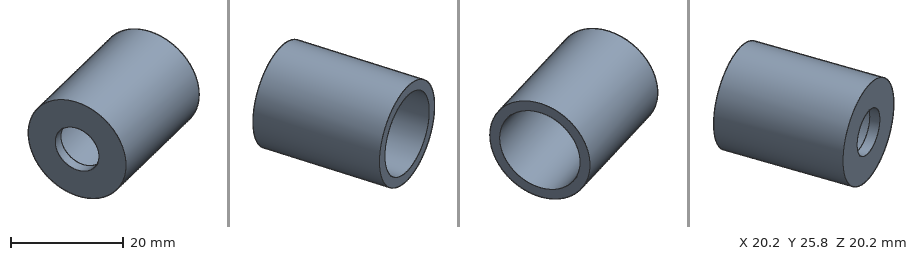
import cadquery as cq

length = 25.8
outer_diameter = 20.2
bore_diameter = 9.0
cavity_diameter = 16.2
front_wall = 2.0
cavity_depth = length - front_wall

body = cq.Workplane("XZ").circle(outer_diameter / 2).extrude(length)
cavity = cq.Workplane("XZ").circle(cavity_diameter / 2).extrude(cavity_depth)
bore = cq.Workplane("XZ").circle(bore_diameter / 2).extrude(length)

result = body.cut(cavity).cut(bore)